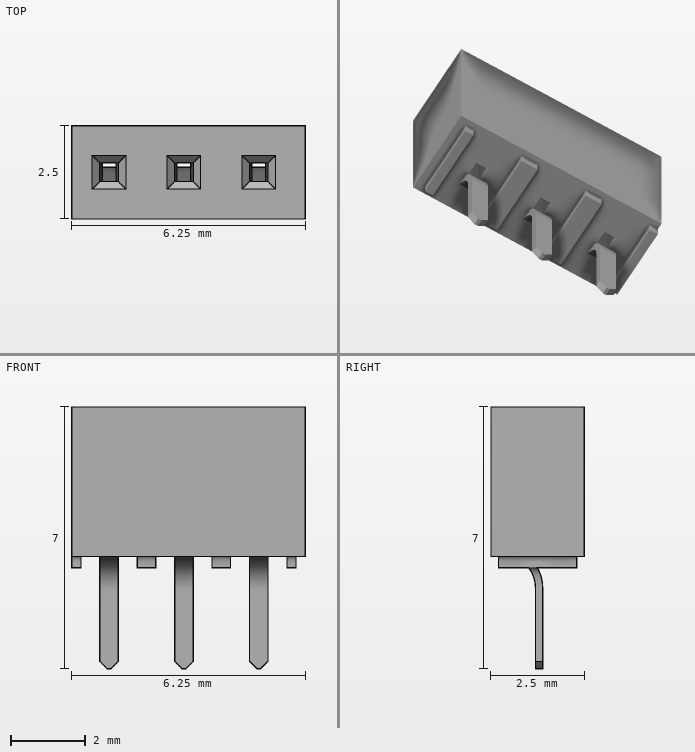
import cadquery as cq
import math

contact_count = 3
pitch = 2.0
row_length = (contact_count - 1) * pitch

housing_depth = 2.5
housing_height = 4.0
housing_start_x = -pitch / 2
end_overhang = 0.25
housing_end_x = row_length + pitch / 2 + end_overhang
housing_length = housing_end_x - housing_start_x

foot_width = 0.5
foot_height = 0.3
foot_setback = 0.2
foot_depth = housing_depth - 2 * foot_setback

bore_size = 0.5
lead_in_depth = 0.2
lead_in_size = bore_size + 2 * lead_in_depth
throat_width = 0.36
throat_height = housing_height / 2
funnel_angle = 20.0
funnel_flat_width = 0.03

tail_width = 0.5
tail_thickness = 0.2
tail_center_y = 0.04
tail_length = 3.0
tip_width = 0.1
tip_height = 0.2
bend_start_z = -0.84
bend_inner_radius = 0.9
bend_angle = 45.0
tail_embed = 0.3


def make_housing():
    """Plain rectangular block."""
    return cq.Workplane("XY").box(
        housing_length, housing_depth, housing_height, centered=(False, True, False)
    ).translate((housing_start_x, 0, 0))


def make_foot(start_x, end_x):
    """Bar across the underside, set back from the long sides."""
    return cq.Workplane("XY").box(
        end_x - start_x, foot_depth, foot_height, centered=(False, True, False)
    ).translate((start_x, 0, -foot_height))


def make_opening(center_x):
    """Square lead-in and bore, funnelling in X to a narrower throat through the underside.

    Each funnel side is a steep flat that rounds over into the upright throat wall.
    """
    lead_in = (
        cq.Workplane("XY", origin=(center_x, 0, housing_height))
        .rect(lead_in_size, lead_in_size)
        .workplane(offset=-lead_in_depth)
        .rect(bore_size, bore_size)
        .loft(ruled=True)
    )

    angle = math.radians(funnel_angle)
    bore_x = bore_size / 2
    throat_x = throat_width / 2
    flat_end_x = bore_x - funnel_flat_width
    round_radius = (flat_end_x - throat_x) / (1 - math.cos(angle))
    round_middle_x = throat_x + round_radius * (1 - math.cos(angle / 2))
    round_middle_z = throat_height + round_radius * math.sin(angle / 2)
    flat_end_z = throat_height + round_radius * math.sin(angle)
    bore_floor_z = flat_end_z + funnel_flat_width / math.tan(angle)

    passage = (
        cq.Workplane("XZ", origin=(center_x, bore_size / 2, 0))
        .moveTo(-throat_x, 0)
        .lineTo(throat_x, 0)
        .lineTo(throat_x, throat_height)
        .threePointArc((round_middle_x, round_middle_z), (flat_end_x, flat_end_z))
        .lineTo(bore_x, bore_floor_z)
        .lineTo(bore_x, housing_height - lead_in_depth)
        .lineTo(-bore_x, housing_height - lead_in_depth)
        .lineTo(-bore_x, bore_floor_z)
        .lineTo(-flat_end_x, flat_end_z)
        .threePointArc((-round_middle_x, round_middle_z), (-throat_x, throat_height))
        .close()
        .extrude(bore_size)
    )
    return lead_in.union(passage)


def make_tail(center_x):
    """Flat tail with a pointed tip, bent towards -Y where it enters the housing."""
    front_y = tail_center_y - tail_thickness / 2
    back_y = tail_center_y + tail_thickness / 2
    bend_center_y = front_y - bend_inner_radius
    bend_outer_radius = bend_inner_radius + tail_thickness
    angle = math.radians(bend_angle)

    def bend_point(radius, turn):
        return (
            bend_center_y + radius * math.cos(turn),
            bend_start_z + radius * math.sin(turn),
        )

    def beyond_bend(radius):
        y, z = bend_point(radius, angle)
        return y - tail_embed * math.sin(angle), z + tail_embed * math.cos(angle)

    side = (
        cq.Workplane("YZ", origin=(center_x - tail_width / 2, 0, 0))
        .moveTo(front_y, -tail_length)
        .lineTo(back_y, -tail_length)
        .lineTo(back_y, bend_start_z)
        .threePointArc(bend_point(bend_outer_radius, angle / 2), bend_point(bend_outer_radius, angle))
        .lineTo(*beyond_bend(bend_outer_radius))
        .lineTo(*beyond_bend(bend_inner_radius))
        .lineTo(*bend_point(bend_inner_radius, angle))
        .threePointArc(bend_point(bend_inner_radius, angle / 2), (front_y, bend_start_z))
        .close()
        .extrude(tail_width)
    )
    front_outline = (
        cq.Workplane("XZ", origin=(center_x, housing_depth, 0))
        .moveTo(-tip_width / 2, -tail_length)
        .lineTo(tip_width / 2, -tail_length)
        .lineTo(tail_width / 2, -tail_length + tip_height)
        .lineTo(tail_width / 2, housing_height)
        .lineTo(-tail_width / 2, housing_height)
        .lineTo(-tail_width / 2, -tail_length + tip_height)
        .close()
        .extrude(2 * housing_depth)
    )
    return side.intersect(front_outline)


contact_positions = [index * pitch for index in range(contact_count)]

result = make_housing()

for index in range(contact_count + 1):
    foot_center = housing_start_x + index * pitch
    foot_start = max(foot_center - foot_width / 2, housing_start_x)
    foot_end = min(foot_center + foot_width / 2, housing_end_x - end_overhang)
    result = result.union(make_foot(foot_start, foot_end))

for position in contact_positions:
    result = result.cut(make_opening(position))

for position in contact_positions:
    result = result.union(make_tail(position))